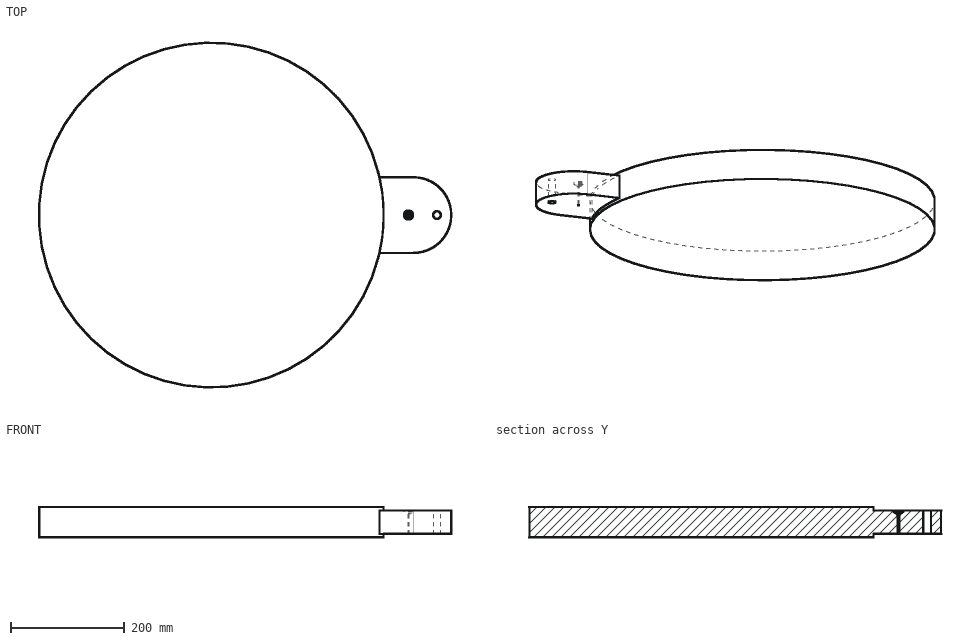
import cadquery as cq

overall_length = 729.0
disc_diameter = 609.5
disc_thickness = 54.0
tab_width = 134.0
tab_thickness = 41.5
end_hole_diameter = 13.0
end_hole_inset = 25.5
hole_spacing = 50.0
step_diameters = [16.0, 12.5, 6.0]
step_depth = 2.0
narrow_hole_diameter = 2.0

disc_radius = disc_diameter / 2
tab_radius = tab_width / 2
tab_tip_x = overall_length - disc_radius
tab_round_x = tab_tip_x - tab_radius
end_hole_x = tab_tip_x - end_hole_inset
stepped_hole_x = end_hole_x - hole_spacing


def centered_disc():
    """Round plate, centred on the origin."""
    return cq.Workplane("XY").circle(disc_radius).extrude(disc_thickness / 2, both=True)


def round_ended_tab():
    """Thinner tab reaching from the disc axis to its rounded tip, centred in the thickness."""
    return (
        cq.Workplane("XY")
        .moveTo(0, -tab_radius)
        .lineTo(tab_round_x, -tab_radius)
        .threePointArc((tab_tip_x, 0), (tab_round_x, tab_radius))
        .lineTo(0, tab_radius)
        .close()
        .extrude(tab_thickness / 2, both=True)
    )


def tab_bore(center_x, diameter, depth):
    """Round cutter going down from the top face of the tab."""
    return (
        cq.Workplane("XY", origin=(center_x, 0, tab_thickness / 2))
        .circle(diameter / 2)
        .extrude(-depth)
    )


def end_hole():
    """Plain hole through the tab near its tip."""
    return tab_bore(end_hole_x, end_hole_diameter, tab_thickness)


def stepped_hole():
    """Shallow concentric steps above a narrow through hole, all on one axis."""
    hole = tab_bore(stepped_hole_x, narrow_hole_diameter, tab_thickness)
    for level, diameter in enumerate(step_diameters, start=1):
        hole = hole.union(tab_bore(stepped_hole_x, diameter, level * step_depth))
    return hole


result = centered_disc().union(round_ended_tab()).cut(end_hole()).cut(stepped_hole())